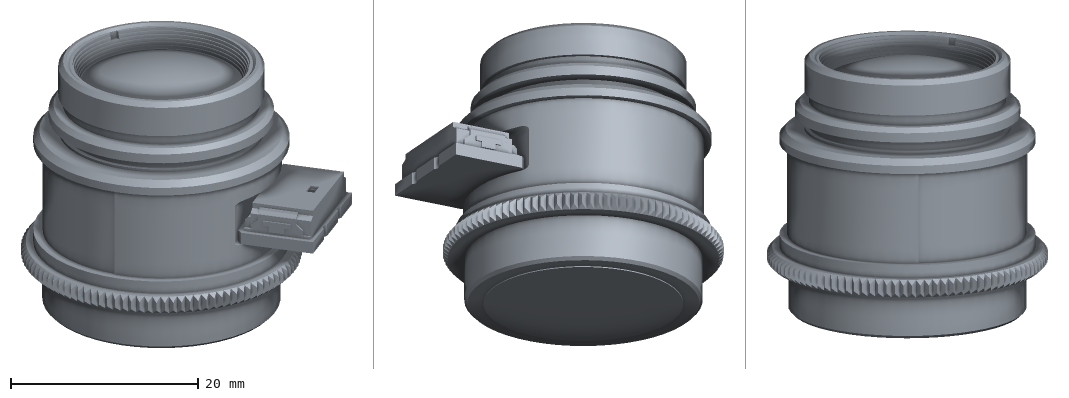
import cadquery as cq
import math

total_length = 34.2
total_height = 28.1
knurl_diameter = 30.0
board_end_x = total_length - knurl_diameter / 2

bottom_lip_radius = 10.67
bottom_lip_top = 0.1
base_radius = 12.72
base_chamfer = 0.35
knurl_bottom = 5.13
knurl_top = 7.08
flange_radius = 13.68
flange_chamfer = 0.65
body_bottom = 8.48
body_top = 18.53
body_radius = 12.85
flange_top = 20.07
rim_radius = 11.0
step_top = 20.38
neck_radius = 10.53
collar_radius = 12.05
collar_bottom = 21.57
collar_top = 23.1
rim_bottom = 24.27
rim_chamfer = 0.5

tooth_count = 104
tooth_phase = -1.4
tooth_root_radius = 14.45
knurl_chamfer = knurl_diameter / 2 - tooth_root_radius

mouth_radius = 10.12
ledge_outer_radius = 9.8
ledge_depth = 0.27
baffle_radius = 9.47
lens_radius = 8.6
lens_edge_z = 25.65
lens_top_z = 27.5
baffle_steps = 6
spanner_width = 1.0
spanner_inner_radius = 9.15
spanner_floor_z = 27.0
spanner_angle = 140.0

recess_radius = 12.7
recess_start = 175.0
recess_sweep = 90.0

slot_x = 10.6
slot_bottom = 10.95
slot_top = 16.05
slot_fillet = 0.55

board_width = 13.55
board_bottom = 11.15
board_top = 12.48
board_shoulder_x = 11.15
board_embed = 0.35
notch_y = 2.45
notch_radius = 0.7
notch_depth = 0.25

foot_start_x = 11.25
shell_start_x = 11.93
shell_end_x = 18.75
foot_half_width = 6.22
foot_top = 12.8
shell_half_width = 6.02
shoulder_z = 14.53
lid_half_width = 5.35
lid_bottom = 14.87
lid_top = 15.5
latch_half_width = 5.8
latch_top = 14.0
latch_chamfer = 0.35

clip_center_x = 14.98
clip_length = 4.27
clip_foot_length = 5.7
clip_flare_bottom = 13.4
clip_flare_top = 14.0
clip_lip_inner = 5.55
clip_lip_outer = 5.68
clip_lip_half_width = 5.78
clip_slope_half_width = 6.1
clip_top = 15.18
clip_slope_top = 14.98
clip_slope_bottom = 14.65
clip_root_z = 14.55
tee_half_width = 6.4
tee_length = 3.0
tee_stem_length = 1.65
tee_top = 14.0
tee_arm_bottom = 13.45

window_x = 16.95
window_length = 0.95
window_width = 1.57
window_center_width = 0.9
window_step_depth = 0.3
window_depth = 0.6


def disc(radius, bottom, top):
    """Plain round disc on the lens axis."""
    return cq.Workplane("XY").workplane(offset=bottom).circle(radius).extrude(top - bottom)


def block(x_start, x_end, half_width, bottom, top):
    """Box centred on Y, placed by its X range and Z range."""
    return cq.Workplane("XY").box(
        x_end - x_start, 2 * half_width, top - bottom, centered=(False, True, False)
    ).translate((x_start, 0, bottom))


def make_knurled_ring():
    """Ring of pointed teeth with both rims chamfered down to the tooth roots."""
    pitch = 2 * math.pi / tooth_count
    tip_radius = knurl_diameter / 2
    points = []
    for tooth in range(tooth_count):
        tip_angle = math.radians(tooth_phase) + tooth * pitch
        root_angle = tip_angle + pitch / 2
        points.append((tip_radius * math.cos(tip_angle), tip_radius * math.sin(tip_angle)))
        points.append((tooth_root_radius * math.cos(root_angle), tooth_root_radius * math.sin(root_angle)))
    teeth = cq.Workplane("XY").workplane(offset=knurl_bottom).polyline(points).close()
    teeth = teeth.extrude(knurl_top - knurl_bottom)
    envelope = disc(tip_radius, knurl_bottom, knurl_top).edges().chamfer(knurl_chamfer)
    return teeth.intersect(envelope)


def make_barrel():
    """Solid stack of rings from the rear lip up to the front rim."""
    barrel = disc(bottom_lip_radius, 0, bottom_lip_top)
    rings = [
        disc(base_radius, bottom_lip_top, knurl_bottom).faces("<Z").chamfer(base_chamfer),
        make_knurled_ring(),
        disc(flange_radius, knurl_top, body_bottom),
        disc(body_radius, body_bottom, body_top),
        disc(flange_radius, body_top, flange_top).faces(">Z").chamfer(flange_chamfer),
        disc(rim_radius, flange_top, step_top),
        disc(neck_radius, step_top, rim_bottom),
        disc(collar_radius, collar_bottom, collar_top).faces(">Z").chamfer(rim_chamfer),
        disc(rim_radius, rim_bottom, total_height).faces(">Z").chamfer(rim_chamfer),
    ]
    for ring in rings:
        barrel = barrel.union(ring)
    return barrel


def make_front_opening():
    """Cavity above the lens: mouth chamfer, ledge, baffle steps and lens dome."""
    ledge_z = total_height - ledge_depth
    tread = (baffle_radius - lens_radius) / baffle_steps
    riser = (ledge_z - lens_edge_z) / baffle_steps
    profile = (
        cq.Workplane("XZ")
        .moveTo(0, total_height)
        .lineTo(mouth_radius, total_height)
        .lineTo(ledge_outer_radius, ledge_z)
        .lineTo(baffle_radius, ledge_z)
    )
    for step in range(1, baffle_steps + 1):
        step_z = ledge_z - step * riser
        profile = profile.lineTo(baffle_radius - (step - 1) * tread, step_z)
        profile = profile.lineTo(baffle_radius - step * tread, step_z)
    sag = lens_top_z - lens_edge_z
    dome_radius = (lens_radius ** 2 + sag ** 2) / (2 * sag)
    mid_radius = lens_radius / 2
    mid_z = lens_top_z - dome_radius + math.sqrt(dome_radius ** 2 - mid_radius ** 2)
    profile = profile.threePointArc((mid_radius, mid_z), (0, lens_top_z)).close()
    return profile.revolve(360, (0, 0, 0), (0, 1, 0))


def make_spanner_slots():
    """Two opposite slots cut into the ledge and the upper baffle steps."""
    slots = cq.Workplane("XY")
    for angle in (spanner_angle, spanner_angle + 180):
        slot = block(spanner_inner_radius, ledge_outer_radius, spanner_width / 2, spanner_floor_z, total_height)
        slots = slots.union(slot.rotate((0, 0, 0), (0, 0, 1), angle))
    return slots.intersect(disc(ledge_outer_radius, spanner_floor_z, total_height))


def make_body_recess():
    """Quarter band removed from the body surface between the two flanges."""
    band = (
        cq.Workplane("XZ")
        .moveTo(recess_radius, body_bottom)
        .lineTo(flange_radius, body_bottom)
        .lineTo(flange_radius, body_top)
        .lineTo(recess_radius, body_top)
        .close()
        .revolve(recess_sweep, (0, 0, 0), (0, 1, 0))
    )
    return band.rotate((0, 0, 0), (0, 0, 1), recess_start)


def make_side_slot():
    """Flat-bottomed slot across the +X side of the body."""
    slot = block(slot_x, knurl_diameter / 2, flange_radius, slot_bottom, slot_top)
    return slot.edges("|Y and <X").fillet(slot_fillet)


def make_board():
    """Circuit board tapering into the slot, with two round notches in its outer edge."""
    half_width = board_width / 2
    inner_x = slot_x - board_embed
    inner_half_width = half_width - (board_shoulder_x - inner_x)
    outline = [
        (inner_x, -inner_half_width),
        (board_shoulder_x, -half_width),
        (board_end_x, -half_width),
        (board_end_x, half_width),
        (board_shoulder_x, half_width),
        (inner_x, inner_half_width),
    ]
    thickness = board_top - board_bottom
    board = cq.Workplane("XY").workplane(offset=board_bottom).polyline(outline).close().extrude(thickness)
    notch_x = board_end_x + notch_radius - notch_depth
    for side in (-1, 1):
        notch = disc(notch_radius, board_bottom, board_top).translate((notch_x, side * notch_y, 0))
        board = board.cut(notch)
    return board


def extrude_section(points, x_start, x_end):
    """Extrude a closed (Y, Z) outline along X."""
    section = cq.Workplane("YZ").workplane(offset=x_start).polyline(points).close()
    return section.extrude(x_end - x_start)


def make_shell():
    """Connector housing: foot, latch block, sloped shoulders and raised lid."""
    foot = block(foot_start_x, shell_end_x, foot_half_width, board_top, foot_top)
    latch = block(foot_start_x, shell_start_x, latch_half_width, board_top, latch_top)
    latch = latch.edges("|Y and <X and >Z").chamfer(latch_chamfer)
    section = [
        (-shell_half_width, board_top),
        (shell_half_width, board_top),
        (shell_half_width, shoulder_z),
        (lid_half_width, lid_bottom),
        (lid_half_width, lid_top),
        (-lid_half_width, lid_top),
        (-lid_half_width, lid_bottom),
        (-shell_half_width, shoulder_z),
    ]
    shell = extrude_section(section, shell_start_x, shell_end_x)
    return shell.union(foot).union(latch)


def mirrored_plate(half_outline, outer_y):
    """Plate across the clip, mirrored about the clip centre, from the lid side out to outer_y."""
    points = [(clip_center_x + x, z) for x, z in half_outline]
    points += [(clip_center_x - x, z) for x, z in reversed(half_outline)]
    plate = cq.Workplane("XZ").workplane(offset=-outer_y).polyline(points).close()
    return plate.extrude(outer_y - lid_half_width)


def make_clip():
    """Spring clip on the +Y side: flared plate with a hooked lip and a raised T."""
    section = [
        (lid_half_width, board_top),
        (foot_half_width, board_top),
        (foot_half_width, clip_slope_bottom),
        (clip_slope_half_width, clip_slope_bottom),
        (clip_lip_half_width, clip_slope_top),
        (clip_lip_outer, clip_top),
        (clip_lip_inner, clip_top),
        (clip_lip_inner, clip_root_z),
        (lid_half_width, clip_root_z),
    ]
    foot_start = clip_center_x - clip_foot_length / 2
    plate = extrude_section(section, foot_start, foot_start + clip_foot_length)
    outline = [
        (clip_foot_length / 2, board_top),
        (clip_foot_length / 2, clip_flare_bottom),
        (clip_length / 2, clip_flare_top),
        (clip_length / 2, clip_top),
    ]
    tee_outline = [
        (tee_stem_length / 2, foot_top),
        (tee_stem_length / 2, tee_arm_bottom),
        (tee_length / 2, tee_arm_bottom),
        (tee_length / 2, tee_top),
    ]
    clip = plate.intersect(mirrored_plate(outline, foot_half_width))
    return clip.union(mirrored_plate(tee_outline, tee_half_width))


def make_window():
    """Stepped pocket in the connector lid, deeper in its middle."""
    start = window_x - window_length / 2
    end = window_x + window_length / 2
    shallow = block(start, end, window_width / 2, lid_top - window_step_depth, lid_top)
    deep = block(start, end, window_center_width / 2, lid_top - window_depth, lid_top)
    return shallow.union(deep)


def make_connector():
    """Complete connector with a clip on each side and the lid window."""
    clip = make_clip()
    connector = make_shell().union(clip).union(clip.mirror("XZ"))
    return connector.cut(make_window())


barrel = make_barrel()
for cavity in (make_front_opening(), make_spanner_slots(), make_body_recess(), make_side_slot()):
    barrel = barrel.cut(cavity)

result = barrel.union(make_board()).union(make_connector())